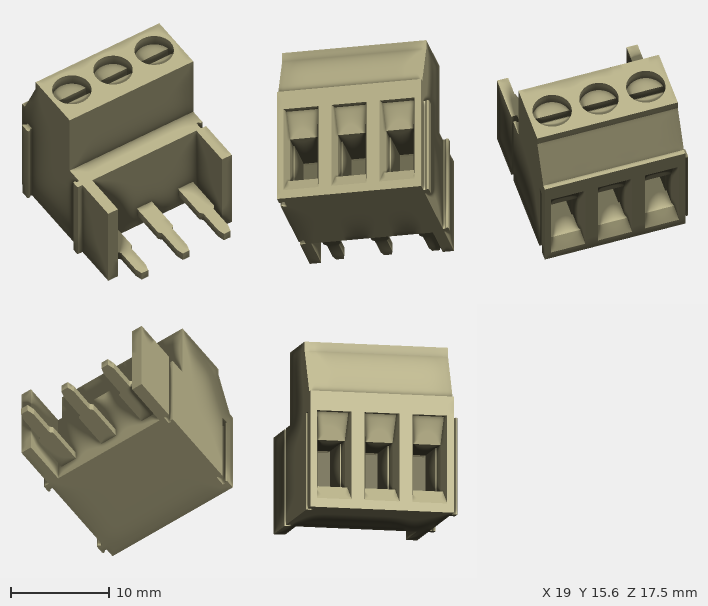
import cadquery as cq


pole_count = 3
pole_pitch = 5.0
strip_width = pole_count * pole_pitch
pole_axes = [(i + 0.5) * pole_pitch for i in range(pole_count)]
first_joint = pole_axes[0]
last_joint = pole_axes[-1]

total_length = 19.0
total_height = 17.5
shoulder_height = 10.0
ledge_height = 12.0
ledge_depth = 0.5
tower_front = 2.5
tower_back = 8.84
slope_top = 16.55
housing_back = 11.21

plate_thickness = 1.18
plate_back = 16.0

screw_x = 5.4
screw_diameter = 4.0
screw_recess_depth = 1.24
slot_width = 0.8
slot_depth = 1.0

mouth_width = 3.63
mouth_bottom = 0.93
mouth_top = shoulder_height
throat_width = 2.85
throat_bottom = 2.3
throat_top = 7.18
ceiling_slope_start = 0.66
ceiling_slope_end = 1.37
floor_slope_end = 0.87
throat_end = 2.98
clamp_width = 2.6
clamp_back = screw_x + screw_diameter / 2
clamp_lip_width = 2.38
clamp_lip_height = 0.19
clamp_lip_reach = 0.048

pin_width = 1.8
pin_neck_width = 1.24
pin_tip_width = 0.8
pin_thickness = 0.95
pin_bottom = 1.65
pin_shoulder_x = 15.18
pin_neck_x = 15.5
pin_taper_x = 18.22

rail_height = shoulder_height
rail_depth = 0.6
dovetail_x = 1.42
dovetail_root_width = 0.84
dovetail_neck_width = 0.72
dovetail_head_width = 1.1
dovetail_neck_depth = 0.15
dovetail_flare_depth = 0.42
dovetail_bevel = 0.15
dovetail_bevel_depth = 0.08
hook_front = 10.37
hook_neck_front = 10.56
hook_back = housing_back
hook_neck_depth = 0.27
hook_flare_depth = 0.36
hook_bevel = 0.05


def box(x_range, y_range, z_range):
    """Box between the given pairs of limits."""
    (x0, x1), (y0, y1), (z0, z1) = x_range, y_range, z_range
    return cq.Workplane("XY").box(x1 - x0, y1 - y0, z1 - z0, centered=False).translate((x0, y0, z0))


def prism_along_y(points, y_start, y_end):
    """XZ outline extruded from y_start to y_end."""
    return cq.Workplane("XZ", origin=(0, y_start, 0)).polyline(points).close().extrude(y_start - y_end)


def prism_along_z(points, z_start, z_end):
    """XY outline extruded from z_start to z_end."""
    return cq.Workplane("XY", origin=(0, 0, z_start)).polyline(points).close().extrude(z_end - z_start)


def housing_slice(y_start, y_end):
    """Plain stretch of the stepped housing."""
    outline = [
        (0, 0),
        (0, ledge_height),
        (ledge_depth, ledge_height),
        (tower_front, slope_top),
        (tower_front, total_height),
        (tower_back, total_height),
        (tower_back, shoulder_height),
        (housing_back, shoulder_height),
        (housing_back, 0),
    ]
    return prism_along_y(outline, y_start, y_end)


def screw_recess(pole_y):
    """Round recess above the screw head, with the screwdriver slot in its floor."""
    floor_z = total_height - screw_recess_depth
    radius = screw_diameter / 2
    recess = cq.Workplane("XY", origin=(screw_x, pole_y, floor_z)).circle(radius).extrude(screw_recess_depth)
    slot_bottom = floor_z - slot_depth
    slot = box(
        (screw_x - slot_width / 2, screw_x + slot_width / 2),
        (pole_y - radius, pole_y + radius),
        (slot_bottom, floor_z),
    )
    round_end = cq.Workplane("XY", origin=(screw_x, pole_y, slot_bottom)).circle(radius).extrude(slot_depth)
    return recess.union(slot.intersect(round_end))


def wire_entry(pole_y):
    """Funnel narrowing to a straight throat, with the clamp chamber behind it."""
    half_mouth = mouth_width / 2
    half_throat = throat_width / 2
    plan = [
        (0, pole_y - half_mouth),
        (ceiling_slope_end, pole_y - half_throat),
        (throat_end, pole_y - half_throat),
        (throat_end, pole_y + half_throat),
        (ceiling_slope_end, pole_y + half_throat),
        (0, pole_y + half_mouth),
    ]
    side = [
        (0, mouth_bottom),
        (0, mouth_top),
        (ceiling_slope_start, mouth_top),
        (ceiling_slope_end, throat_top),
        (throat_end, throat_top),
        (throat_end, throat_bottom),
        (floor_slope_end, throat_bottom),
    ]
    funnel = prism_along_z(plan, mouth_bottom, mouth_top).intersect(
        prism_along_y(side, pole_y - half_mouth, pole_y + half_mouth)
    )
    chamber = box(
        (throat_end, clamp_back),
        (pole_y - clamp_width / 2, pole_y + clamp_width / 2),
        (throat_bottom, throat_top),
    )
    lip_outline = [
        (clamp_back, throat_top - clamp_lip_height),
        (clamp_back, throat_top),
        (clamp_back - clamp_lip_reach, throat_top),
    ]
    lip = prism_along_y(lip_outline, pole_y - clamp_lip_width / 2, pole_y + clamp_lip_width / 2)
    return funnel.union(chamber.cut(lip))


def contact_pin(pole_y):
    """Flat pin with a stepped, tapered end."""
    half_widths = [
        (housing_back, pin_width / 2),
        (pin_shoulder_x, pin_width / 2),
        (pin_neck_x, pin_neck_width / 2),
        (pin_taper_x, pin_neck_width / 2),
        (total_length, pin_tip_width / 2),
    ]
    outline = [(x, pole_y - half) for x, half in half_widths]
    outline += [(x, pole_y + half) for x, half in reversed(half_widths)]
    return prism_along_z(outline, pin_bottom, pin_bottom + pin_thickness)


def strip_section(y_start, y_end):
    """Stretch of the strip with the parts of its poles that lie between two Y limits."""
    section = housing_slice(y_start, y_end)
    slab = box((0, total_length), (y_start, y_end), (0, total_height))
    for pole_y in pole_axes:
        if y_start - pole_pitch / 2 < pole_y < y_end + pole_pitch / 2:
            section = section.cut(screw_recess(pole_y)).cut(wire_entry(pole_y))
            section = section.union(contact_pin(pole_y).intersect(slab))
    return section


def end_plate(y_start):
    """Plate reaching back beside the pins."""
    return box((housing_back, plate_back), (y_start, y_start + plate_thickness), (0, shoulder_height))


def dovetail(face_y, bevelled):
    """Dovetail bar standing out from face_y towards -Y."""
    half_widths = [
        (dovetail_root_width / 2, 0),
        (dovetail_neck_width / 2, dovetail_neck_depth),
        (dovetail_head_width / 2, dovetail_flare_depth),
    ]
    if bevelled:
        half_widths.append((dovetail_head_width / 2, rail_depth - dovetail_bevel_depth))
        half_widths.append((dovetail_head_width / 2 - dovetail_bevel, rail_depth))
    else:
        half_widths.append((dovetail_head_width / 2, rail_depth))
    outline = [(dovetail_x + half, face_y - depth) for half, depth in half_widths]
    outline += [(dovetail_x - half, face_y - depth) for half, depth in reversed(half_widths)]
    return prism_along_z(outline, 0, rail_height)


def hook(face_y, bevelled):
    """Hooked bar standing out from face_y towards -Y, undercut on its front side."""
    outline = [
        (hook_back, face_y),
        (hook_neck_front, face_y),
        (hook_neck_front, face_y - hook_neck_depth),
        (hook_front, face_y - hook_flare_depth),
        (hook_front, face_y - rail_depth),
        (hook_back, face_y - rail_depth),
    ]
    bar = prism_along_z(outline, 0, rail_height)
    if bevelled:
        bar = bar.faces("<Y").edges("|Z").chamfer(hook_bevel)
    return bar


def rail_end():
    """End section at -Y, carrying the rails."""
    section = strip_section(0, first_joint).union(end_plate(0))
    return section.union(dovetail(0, bevelled=True)).union(hook(0, bevelled=True))


def middle_section():
    """Section between the axes of the outer poles."""
    return strip_section(first_joint, last_joint)


def groove_end():
    """End section at +Y, with grooves that take the rails of the next strip."""
    section = strip_section(last_joint, strip_width).union(end_plate(strip_width - plate_thickness))
    return section.cut(dovetail(strip_width, bevelled=False)).cut(hook(strip_width, bevelled=False))


sections = [rail_end(), middle_section(), groove_end()]
result = cq.Compound.makeCompound([section.solids().val() for section in sections])